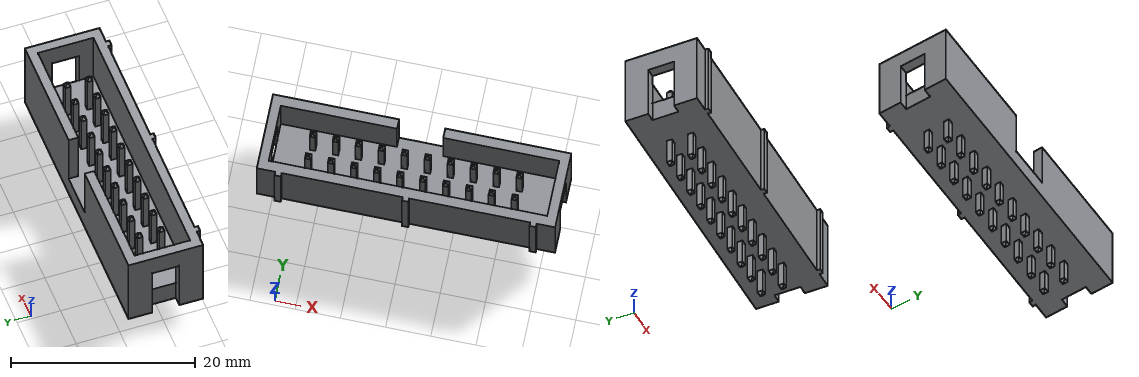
import cadquery as cq

LENGTH = 33.0
DEPTH = 8.6
HEIGHT = 8.9
WALL = 1.1
FLOOR = 2.5

NOTCH_WIDTH = 5.1

SLOT_WIDTH = 3.1
SLOT_HEIGHT = 6.5

RIB_WIDTH = 0.7
RIB_DEPTH = 0.4
RIB_SPACING = 14.1

PITCH = 2.54
PIN_COLUMNS = 10
PIN_ROWS = 2
PIN_SIZE = 0.64
PIN_BELOW = 3.5
PIN_ABOVE_FLOOR = 5.0
TIP_LENGTH = 0.4
TIP_SIZE = 0.16


def box(length, depth, height, x=0.0, y=0.0, z=0.0):
    """Box centred on (x, y) with its underside at z."""
    return cq.Workplane("XY").box(length, depth, height, centered=(True, True, False)).translate((x, y, z))


def make_shroud():
    """Open-topped tray with a notch in one long wall and a slot in each end wall."""
    above_floor = HEIGHT - FLOOR
    cavity = box(LENGTH - 2 * WALL, DEPTH - 2 * WALL, above_floor, z=FLOOR)
    notch = box(NOTCH_WIDTH, WALL, above_floor, y=(DEPTH - WALL) / 2, z=FLOOR)
    shroud = box(LENGTH, DEPTH, HEIGHT).cut(cavity).cut(notch)
    for side in (-1, 1):
        slot = box(WALL, SLOT_WIDTH, SLOT_HEIGHT, x=side * (LENGTH - WALL) / 2)
        shroud = shroud.cut(slot)
    return shroud


def add_ribs(body):
    """Three full-height ribs on the outside of the -Y wall."""
    for step in (-1, 0, 1):
        rib = box(RIB_WIDTH, RIB_DEPTH, HEIGHT, x=step * RIB_SPACING, y=-(DEPTH + RIB_DEPTH) / 2)
        body = body.union(rib)
    return body


def make_tip(base_z, direction):
    """Truncated pyramid at a pin end, narrowing upwards (1) or downwards (-1)."""
    return (
        cq.Workplane("XY", origin=(0, 0, base_z))
        .rect(PIN_SIZE, PIN_SIZE)
        .workplane(offset=direction * TIP_LENGTH)
        .rect(TIP_SIZE, TIP_SIZE)
        .loft(ruled=True)
    )


def make_pin():
    """Square pin on the Z axis with a tapered tip at both ends."""
    shank_bottom = TIP_LENGTH - PIN_BELOW
    shank_top = FLOOR + PIN_ABOVE_FLOOR - TIP_LENGTH
    shank = box(PIN_SIZE, PIN_SIZE, shank_top - shank_bottom, z=shank_bottom)
    return shank.union(make_tip(shank_bottom, -1)).union(make_tip(shank_top, 1))


def add_pins(body):
    """Grid of pins passing through the floor, centred on the shroud."""
    pin = make_pin()
    for column in range(PIN_COLUMNS):
        for row in range(PIN_ROWS):
            x = (column - (PIN_COLUMNS - 1) / 2) * PITCH
            y = (row - (PIN_ROWS - 1) / 2) * PITCH
            body = body.union(pin.translate((x, y, 0)))
    return body


result = add_pins(add_ribs(make_shroud()))